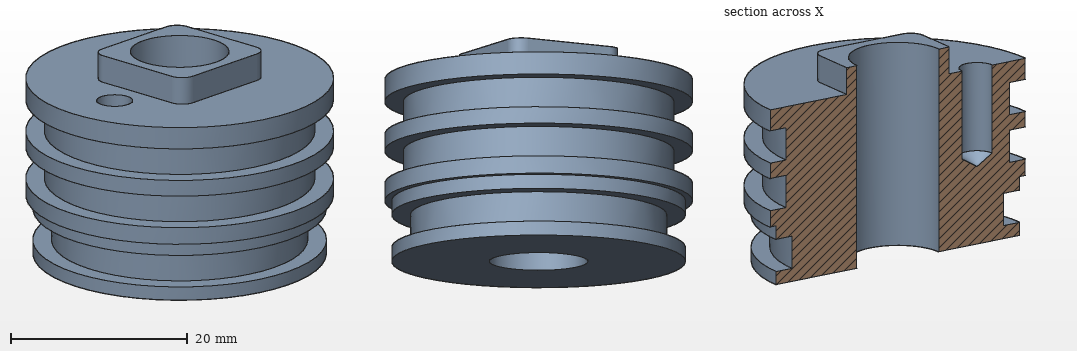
import cadquery as cq
import math

flange_diameter = 34.9
lower_flange_diameter = 33.3
groove_diameter = 30.67
lower_groove_diameter = 29.03
groove_height = 3.77
lower_rib_height = 2.0
upper_rib_height = 1.9
lower_rim_height = 1.6
sections = [
    (lower_flange_diameter, lower_rim_height),
    (lower_groove_diameter, groove_height),
    (lower_flange_diameter, lower_rim_height),
    (flange_diameter, lower_rib_height),
    (groove_diameter, groove_height),
    (flange_diameter, upper_rib_height),
    (groove_diameter, groove_height),
]

total_height = 24.1
boss_height = 3.17
boss_side = 14.03
boss_corner_radius = 1.67
body_height = total_height - boss_height

bore_diameter = 11.15
drill_diameter = 4.08
drill_offset = 10.8
drill_depth = 10.45
drill_tip_angle = 118.0


def make_body():
    """Stack the discs; the top flange fills the remaining body height."""
    top_flange_height = body_height - sum(height for _, height in sections)
    body = cq.Workplane("XY")
    base = 0.0
    for diameter, height in sections + [(flange_diameter, top_flange_height)]:
        disc = cq.Workplane("XY").workplane(offset=base).circle(diameter / 2).extrude(height)
        body = body.union(disc)
        base += height
    return body


def make_boss():
    return (
        cq.Workplane("XY")
        .workplane(offset=body_height)
        .rect(boss_side, boss_side)
        .extrude(boss_height)
        .edges("|Z")
        .fillet(boss_corner_radius)
    )


def make_drilled_hole():
    """Revolve half of the drill outline about its vertical axis."""
    radius = drill_diameter / 2
    tip_length = radius / math.tan(math.radians(drill_tip_angle / 2))
    return (
        cq.Workplane("XZ", origin=(0, -drill_offset, body_height))
        .polyline([(0, 0), (radius, 0), (radius, -drill_depth), (0, -drill_depth - tip_length)])
        .close()
        .revolve(360, (0, 0, 0), (0, 1, 0))
    )


bore = cq.Workplane("XY").circle(bore_diameter / 2).extrude(total_height)
result = make_body().union(make_boss()).cut(bore).cut(make_drilled_hole())